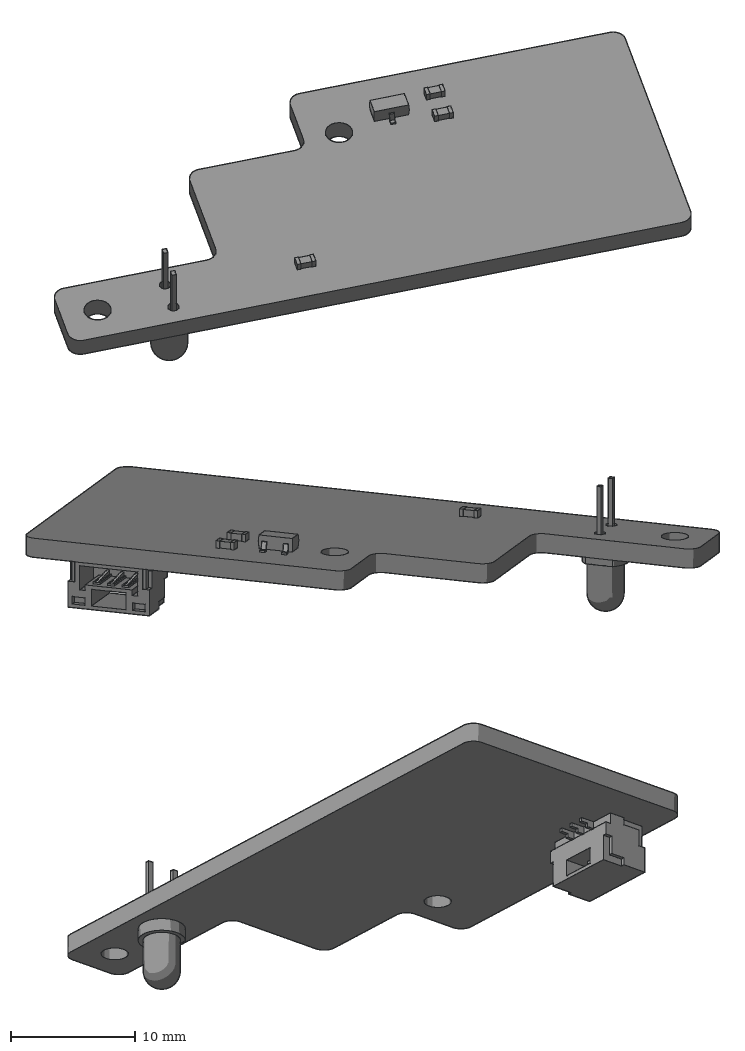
import cadquery as cq
import math


BOARD_WIDTH = 22.0
BOARD_LENGTH = 52.0
BOARD_THICK = 1.6
CORNER_RADIUS = 1.05
FIRST_STEP_X = 6.05
FIRST_STEP_Y = 24.0
SECOND_STEP_X = 15.95
SECOND_STEP_Y = 14.0
MOUNT_HOLE_DIA = 2.2
MOUNT_HOLES = [(5.05, 27.0), (19.05, 3.0)]

LED_X = 19.05
LED_Y = 9.0
LED_DIA = 3.0
LED_LENGTH = 5.25
FLANGE_DIA = 3.8
FLANGE_THICK = 1.05
LEAD_PITCH = 2.55
LEAD_WIDTH = 0.45
LEAD_THICK = 0.35
LEAD_RISE = 3.95
LEAD_HOLE_DIA = 0.9
LEAD_XS = [LED_X - LEAD_PITCH / 2, LED_X + LEAD_PITCH / 2]

CHIP_WIDTH = 0.8
CHIP_LENGTH = 1.55
CHIP_HEIGHT = 0.6
CAP_LENGTH = 0.3
CAP_WRAP = 0.025
CHIP_CENTRES = [(3.0, 35.5), (5.5, 35.5), (18.55, 20.5)]

TRANSISTOR_X = 4.05
TRANSISTOR_Y = 31.45
CASE_WIDTH = 1.4
CASE_LENGTH = 2.95
CASE_TOP = 1.25
CASE_STANDOFF = 0.1
CASE_PARTING = 0.75
CASE_DRAFT = 5.0
LEG_WIDTH = 0.4
LEG_THICK = 0.15
LEG_REACH = 2.4
LEG_TOP = 0.8
LEG_SHOULDER = 1.6
LEG_SLOPE = 0.2
LEG_ROOT = 1.1
LEG_PAIR_PITCH = 1.85

CONNECTOR_X = 1.1
CONNECTOR_Y = 45.0
SHELL_DEPTH = 4.05
SHELL_WIDTH = 7.0
SHELL_HEIGHT = 4.2
CAVITY_WIDTH = 5.0
CAVITY_DEPTH = 3.1
CAVITY_TOP = 0.6
CAVITY_FLOOR = 2.2
GROOVE_WIDTH = 0.45
GROOVE_FLOOR = 2.65
WINDOW_WIDTH = 2.95
WINDOW_TOP = 2.5
WINDOW_FLOOR = 3.9
LATCH_WIDTH = 1.25
LATCH_DROP = 0.25
LATCH_START = 1.55
LATCH_LENGTH = 1.05
POCKET_WIDTH = 1.1
POCKET_TOP = 3.3
POCKET_DEPTH = 0.5
POCKET_OFFSET = 2.6
REAR_NOTCH_START = 3.6
REAR_NOTCH_HEIGHT = 0.95
SIDE_ARM = 0.6
SIDE_ARM_END_X = 2.2
SIDE_ARM_END_Z = 2.05
SIDE_RECESS_DEPTH = 0.3
TAB_THICK = 0.25
TAB_SETBACK = 0.05
CONTACT_PITCH = 1.25
CONTACT_OFFSETS = [-CONTACT_PITCH, 0, CONTACT_PITCH]
CONTACT_WIDTH = 0.25
JAW_TOP = 1.05
JAW_BOTTOM = 1.7
CONTACT_START = 0.5
RIB_WIDTH = 0.55
RIB_HEIGHT = 0.15
FOOT_THICK = 0.3
FOOT_END = 4.85
HEEL_THICK = 0.6
HEEL_END = 4.2


def box(x_range, y_range, z_range):
    """Axis-aligned block between the given pairs of limits."""
    sizes = [end - start for start, end in (x_range, y_range, z_range)]
    corner = (x_range[0], y_range[0], z_range[0])
    return cq.Workplane("XY").box(*sizes, centered=False).translate(corner)


def centred(middle, width):
    """Limits of a stretch of the given width around its middle."""
    return middle - width / 2, middle + width / 2


def make_board():
    """Stepped plate with rounded corners, mounting holes and LED lead holes."""
    outline = [
        (0, FIRST_STEP_Y),
        (FIRST_STEP_X, FIRST_STEP_Y),
        (FIRST_STEP_X, SECOND_STEP_Y),
        (SECOND_STEP_X, SECOND_STEP_Y),
        (SECOND_STEP_X, 0),
        (BOARD_WIDTH, 0),
        (BOARD_WIDTH, BOARD_LENGTH),
        (0, BOARD_LENGTH),
    ]
    plate = cq.Workplane("XY").polyline(outline).close().extrude(BOARD_THICK)
    plate = plate.edges("|Z").fillet(CORNER_RADIUS)
    mount_cut = cq.Workplane("XY").pushPoints(MOUNT_HOLES).circle(MOUNT_HOLE_DIA / 2).extrude(BOARD_THICK)
    lead_points = [(x, LED_Y) for x in LEAD_XS]
    lead_cut = cq.Workplane("XY").pushPoints(lead_points).circle(LEAD_HOLE_DIA / 2).extrude(BOARD_THICK)
    return plate.cut(mount_cut).cut(lead_cut)


def make_led():
    """Domed lens with a flange, flat on its left side, and two flat leads."""
    radius = LED_DIA / 2
    flange_radius = FLANGE_DIA / 2
    shoulder = -(LED_LENGTH - radius)
    arc_middle = (radius * math.sin(math.pi / 4), shoulder - radius * math.cos(math.pi / 4))
    lens = (
        cq.Workplane("XZ")
        .lineTo(radius, 0)
        .lineTo(radius, shoulder)
        .threePointArc(arc_middle, (0, -LED_LENGTH))
        .close()
        .revolve(360, (0, 0), (0, 1))
    )
    flange = cq.Workplane("XY").circle(flange_radius).extrude(-FLANGE_THICK)
    flat_side = box((-radius, flange_radius), centred(0, FLANGE_DIA), (-FLANGE_THICK, 0))
    led = lens.union(flange.intersect(flat_side)).translate((LED_X, LED_Y, 0))
    for x in LEAD_XS:
        lead_top = BOARD_THICK + LEAD_RISE
        lead = box(centred(x, LEAD_WIDTH), centred(LED_Y, LEAD_THICK), (-FLANGE_THICK, lead_top))
        led = led.union(lead)
    return led


def make_chip(x, y):
    """Ceramic block with a slightly larger metal cap at each end."""
    ceramic_width = CHIP_WIDTH - 2 * CAP_WRAP
    ceramic_length = CHIP_LENGTH - 2 * CAP_WRAP
    chip = box(centred(0, ceramic_width), centred(0, ceramic_length), (CAP_WRAP, CHIP_HEIGHT - CAP_WRAP))
    for side in (-1, 1):
        cap_middle = side * (CHIP_LENGTH - CAP_LENGTH) / 2
        cap = box(centred(0, CHIP_WIDTH), centred(cap_middle, CAP_LENGTH), (0, CHIP_HEIGHT))
        chip = chip.union(cap)
    return chip.translate((x, y, BOARD_THICK))


def make_leg(side, y):
    """Bent transistor leg; side is +1 for the right and -1 for the left."""
    profile = [
        (LEG_ROOT, LEG_TOP),
        (LEG_SHOULDER, LEG_TOP),
        (LEG_SHOULDER + LEG_SLOPE, LEG_THICK),
        (LEG_REACH, LEG_THICK),
        (LEG_REACH, 0),
        (LEG_SHOULDER, 0),
        (LEG_SHOULDER - LEG_SLOPE, LEG_TOP - LEG_THICK),
        (LEG_ROOT, LEG_TOP - LEG_THICK),
    ]
    points = [(side * x, z) for x, z in profile]
    leg = cq.Workplane("XZ").polyline(points).close().extrude(LEG_WIDTH / 2, both=True)
    return leg.translate((0, y, 0))


def make_case_half(height):
    """Half of the transistor case, narrowing upwards from the parting line."""
    return cq.Workplane("XY").rect(CASE_WIDTH, CASE_LENGTH).extrude(height, taper=CASE_DRAFT)


def make_transistor():
    """Case tapering up and down from its parting line, with three legs."""
    upper = make_case_half(CASE_TOP - CASE_PARTING)
    lower = make_case_half(CASE_PARTING - CASE_STANDOFF).mirror("XY")
    transistor = upper.union(lower).translate((0, 0, CASE_PARTING))
    for side, y in ((-0.5, -LEG_PAIR_PITCH / 2), (-0.5, LEG_PAIR_PITCH / 2), (0.5, 0)):
        transistor = transistor.union(make_leg(side, y))
    return transistor.translate((TRANSISTOR_X, TRANSISTOR_Y, BOARD_THICK))


def cut_front_openings(shell):
    """Cavity with floor grooves, through window and two shallow pockets in the mouth face."""
    depth = (0, CAVITY_DEPTH)
    shell = shell.cut(box(depth, centred(0, CAVITY_WIDTH), (-CAVITY_FLOOR, -CAVITY_TOP)))
    shell = shell.cut(box((0, SHELL_DEPTH), centred(0, WINDOW_WIDTH), (-WINDOW_FLOOR, -WINDOW_TOP)))
    for side in (-1, 1):
        groove_middle = side * (CAVITY_WIDTH - GROOVE_WIDTH) / 2
        shell = shell.cut(box(depth, centred(groove_middle, GROOVE_WIDTH), (-GROOVE_FLOOR, -CAVITY_TOP)))
        pocket_y = centred(side * POCKET_OFFSET, POCKET_WIDTH)
        shell = shell.cut(box((0, POCKET_DEPTH), pocket_y, (-WINDOW_FLOOR, -POCKET_TOP)))
    return shell


def make_side_ell(y_range, setback=0.0):
    """L-shaped block in the upper front corner of a shell side."""
    upright = box((setback, SIDE_ARM), y_range, (-SIDE_ARM_END_Z, 0))
    return upright.union(box((setback, SIDE_ARM_END_X), y_range, (-SIDE_ARM, 0)))


def make_rear_ell(y_range):
    """L-shaped block in the lower rear corner of a shell side."""
    rear_x = (SHELL_DEPTH - SIDE_ARM, SHELL_DEPTH)
    upright = box(rear_x, y_range, (-SHELL_HEIGHT, -SIDE_ARM_END_Z))
    lower_z = (-SHELL_HEIGHT, SIDE_ARM - SHELL_HEIGHT)
    return upright.union(box((SIDE_ARM_END_X, SHELL_DEPTH), y_range, lower_z))


def shape_sides(shell):
    """Recess both corners of each side and set a metal tab in the front recess."""
    half_width = SHELL_WIDTH / 2
    recess_floor = half_width - SIDE_RECESS_DEPTH
    tab_floor = recess_floor - TAB_THICK
    for side in (-1, 1):
        front_y = sorted((side * tab_floor, side * half_width))
        rear_y = sorted((side * recess_floor, side * half_width))
        tab_y = sorted((side * tab_floor, side * recess_floor))
        shell = shell.cut(make_side_ell(front_y)).cut(make_rear_ell(rear_y))
        shell = shell.union(make_side_ell(tab_y, TAB_SETBACK))
    return shell


def make_jaw(outer_z, inner_z):
    """Wedge growing from the cavity's ceiling or a rib towards the back wall."""
    points = [(CONTACT_START, outer_z), (CAVITY_DEPTH, outer_z), (CAVITY_DEPTH, inner_z)]
    return cq.Workplane("XZ").polyline(points).close().extrude(CONTACT_WIDTH / 2, both=True)


def add_contacts(shell):
    """Contact jaws and ribs inside the cavity, and soldering feet behind the shell."""
    rib_top = RIB_HEIGHT - CAVITY_FLOOR
    jaws = [make_jaw(-CAVITY_TOP, -JAW_TOP), make_jaw(rib_top, -JAW_BOTTOM)]
    for y in CONTACT_OFFSETS:
        contact_y = centred(y, CONTACT_WIDTH)
        rib_y = centred(y, RIB_WIDTH)
        shell = shell.union(box((CONTACT_START, CAVITY_DEPTH), rib_y, (-CAVITY_FLOOR, rib_top)))
        for jaw in jaws:
            shell = shell.union(jaw.translate((0, y, 0)))
        shell = shell.union(box((REAR_NOTCH_START, FOOT_END), contact_y, (-FOOT_THICK, 0)))
        shell = shell.union(box((REAR_NOTCH_START, HEEL_END), contact_y, (-HEEL_THICK, 0)))
    return shell


def make_latch():
    """Wedge hanging from the window's ceiling, deepest at its rear."""
    points = [
        (LATCH_START, -WINDOW_TOP),
        (LATCH_START + LATCH_LENGTH, -WINDOW_TOP),
        (LATCH_START + LATCH_LENGTH, -WINDOW_TOP - LATCH_DROP),
    ]
    return cq.Workplane("XZ").polyline(points).close().extrude(LATCH_WIDTH / 2, both=True)


def make_connector():
    """Connector under the board with its mouth facing the board's left edge."""
    shell = box((0, SHELL_DEPTH), centred(0, SHELL_WIDTH), (-SHELL_HEIGHT, 0))
    notch_z = (-REAR_NOTCH_HEIGHT, 0)
    shell = shell.cut(box((REAR_NOTCH_START, SHELL_DEPTH), centred(0, SHELL_WIDTH), notch_z))
    shell = cut_front_openings(shell)
    shell = shape_sides(shell)
    shell = add_contacts(shell).union(make_latch())
    return shell.translate((CONNECTOR_X, CONNECTOR_Y, 0))


board = make_board()
led = make_led()
chips = [make_chip(x, y) for x, y in CHIP_CENTRES]
transistor = make_transistor()
connector = make_connector()

result = cq.Compound.makeCompound(
    [board.val(), led.val(), *[chip.val() for chip in chips], transistor.val(), connector.val()]
)